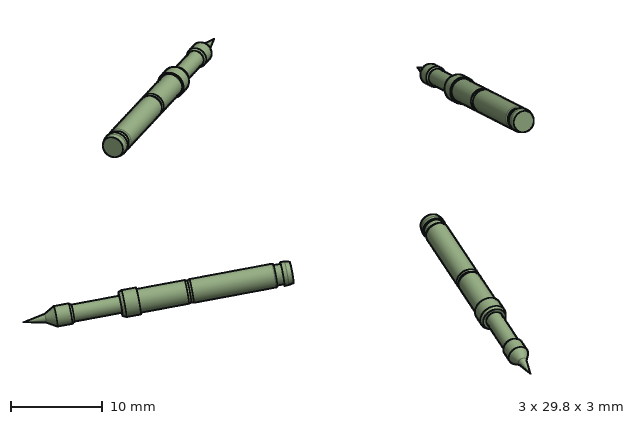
import cadquery as cq

length = 29.8

flange_diameter = 3.0
barrel_diameter = 2.65
tail_face_diameter = 2.38
neck_diameter = 2.3
crimp_diameter = 2.4
stem_diameter = 1.9
head_diameter = 2.3
needle_base_diameter = 0.98

tail_taper_length = 0.6
tail_rim_length = 0.45
neck_length = 0.77
crimp_position = 11.38
crimp_half_width = 0.27
flange_start = 17.02
flange_length = 2.0
flange_chamfer_length = 0.4
flange_chamfer_depth = 0.18

needle_length = 2.45
nose_length = 1.15
head_length = 1.65
head_taper_length = 0.27

flange_radius = flange_diameter / 2
barrel_radius = barrel_diameter / 2
neck_radius = neck_diameter / 2
crimp_radius = crimp_diameter / 2
stem_radius = stem_diameter / 2
head_radius = head_diameter / 2
barrel_round_radius = barrel_radius - neck_radius

tail_rim_start = tail_taper_length
neck_start = tail_rim_start + tail_rim_length
neck_end = neck_start + neck_length
barrel_start = neck_end + barrel_round_radius
flange_end = flange_start + flange_length
needle_start = length - needle_length
nose_start = needle_start - nose_length
head_start = nose_start - head_length
stem_end = head_start - head_taper_length

half_section = (
    cq.Workplane("XY")
    .lineTo(tail_face_diameter / 2, 0)
    .lineTo(barrel_radius, tail_rim_start)
    .lineTo(barrel_radius, neck_start)
    .lineTo(neck_radius, neck_start)
    .lineTo(neck_radius, neck_end)
    .radiusArc((barrel_radius, barrel_start), -barrel_round_radius)
    .lineTo(barrel_radius, crimp_position - crimp_half_width)
    .lineTo(crimp_radius, crimp_position)
    .lineTo(barrel_radius, crimp_position + crimp_half_width)
    .lineTo(barrel_radius, flange_start)
    .lineTo(flange_radius, flange_start)
    .lineTo(flange_radius, flange_end - flange_chamfer_length)
    .lineTo(flange_radius - flange_chamfer_depth, flange_end)
    .lineTo(stem_radius, flange_end)
    .lineTo(stem_radius, stem_end)
    .lineTo(head_radius, head_start)
    .lineTo(head_radius, nose_start)
    .lineTo(needle_base_diameter / 2, needle_start)
    .lineTo(0, length)
    .close()
)

result = half_section.revolve(360, (0, 0, 0), (0, 1, 0))